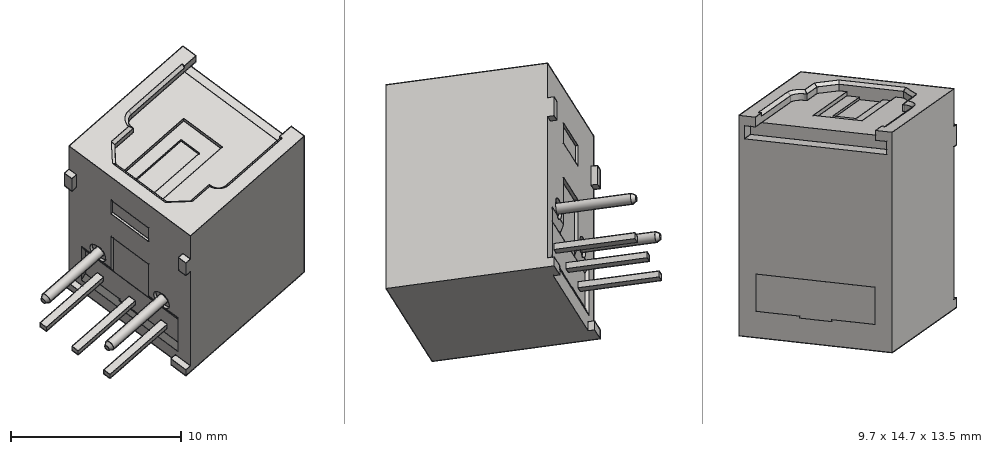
import cadquery as cq
import math

WIDTH = 9.7
DEPTH = 9.9
HEIGHT = 13.5

STANDOFF_HEIGHT = 0.4
TAB_WIDTH = 0.6
TAB_BOTTOM = 9.95
TAB_TOP = 11.2
FOOT_WIDTH = 1.2
FOOT_HEIGHT = 0.6

MOUTH_WIDTH = 7.7
MOUTH_BOTTOM = 1.1
MOUTH_TOP = 4.45
MOUTH_DEPTH = 0.22
INSERT_WIDTH = 7.5
INSERT_BOTTOM = 1.62
INSERT_TOP = 3.9
KEY_WIDTH = 2.04
KEY_HEIGHT = 0.12
KEY_BOTTOM = INSERT_BOTTOM - KEY_HEIGHT

PANEL_WIDTH = 3.0
WINDOW_BOTTOM = 9.85
WINDOW_TOP = TAB_TOP
WINDOW_DEPTH = 0.15
STEM_TOP = 7.6

SOCKET_DEPTH = 0.6
SOCKET_REAR = 8.9
SOCKET_HALF_WIDTH = 3.8
SOCKET_CORNER_RADIUS = 0.65
SOCKET_SHOULDER = 3.62
NECK_HALF_WIDTH = 3.03
NECK_FRONT = 1.0
NOSE_BEVEL = 1.0

LEAD_IN = 0.2
LEAD_IN_DEPTH = 0.2

SHUTTER_STEPS = ((1.54, 6.37, 0.25), (0.735, 5.26, 0.4))

LEDGE_WIDTH = 9.0
LEDGE_DROP = 0.8

PIN_PITCH = 2.54
PIN_REACH = 4.75
CONTACT_WIDTH = 0.5
CONTACT_HEIGHT = 0.4
CONTACT_Z = 2.4
POST_RADIUS = 0.325
POST_Z = 5.0
POST_TIP_RADIUS = 0.175
POST_TIP_LENGTH = 0.25
SEAT_RADIUS = 0.625
SEAT_DEPTH = 0.2


def block(x_range, y_range, z_range):
    """Box spanning the given (low, high) ranges."""
    low, high = zip(x_range, y_range, z_range)
    size = [end - start for start, end in zip(low, high)]
    return cq.Workplane("XY").box(*size, centered=False).translate(low)


def centred(width, middle=0):
    """Range of the given width about a middle."""
    return (middle - width / 2, middle + width / 2)


def front_plane(y):
    """Workplane whose local axes are X and Z and whose normal points forward, towards -Y."""
    return cq.Workplane("XZ", origin=(0, y, 0))


def cylinder(x, z, radius, y, length):
    """Cylinder that runs forward from y."""
    return front_plane(y).center(x, z).circle(radius).extrude(length)




def standoffs():
    """Upper tabs and lower feet at both sides of the front face."""
    pads = cq.Workplane("XY")
    for width, z_range in ((TAB_WIDTH, (TAB_BOTTOM, TAB_TOP)), (FOOT_WIDTH, (0, FOOT_HEIGHT))):
        for side in (-1, 1):
            middle = side * (WIDTH - width) / 2
            pads = pads.add(block(centred(width, middle), (-STANDOFF_HEIGHT, 0), z_range))
    return pads


def mouth():
    """Front mouth narrowing to the insert's face, with the key's slot cut through its lower slope."""
    front_middle = (MOUTH_BOTTOM + MOUTH_TOP) / 2
    floor_middle = (INSERT_BOTTOM + INSERT_TOP) / 2
    opening = (
        front_plane(0)
        .center(0, front_middle)
        .rect(MOUTH_WIDTH, MOUTH_TOP - MOUTH_BOTTOM)
        .workplane(offset=-MOUTH_DEPTH)
        .center(0, floor_middle - front_middle)
        .rect(INSERT_WIDTH, INSERT_TOP - INSERT_BOTTOM)
        .loft(ruled=True)
    )
    slot = block(centred(KEY_WIDTH), (0, MOUTH_DEPTH), (KEY_BOTTOM, floor_middle))
    return opening.union(slot)


def wide_outline(plane, grown):
    """Wide part of the socket with rounded front corners, its sides and front moved out by `grown`."""
    half = SOCKET_HALF_WIDTH + grown
    front = SOCKET_SHOULDER - grown
    radius = SOCKET_CORNER_RADIUS + grown
    return (
        plane.moveTo(-half, SOCKET_REAR)
        .lineTo(-half, front + radius)
        .radiusArc((-half + radius, front), -radius)
        .lineTo(half - radius, front)
        .radiusArc((half, front + radius), -radius)
        .lineTo(half, SOCKET_REAR)
        .close()
    )


def neck_outline(plane, grown):
    """Neck of the socket with 45-degree nose bevels, its sides, front and bevels moved out by `grown`."""
    half = NECK_HALF_WIDTH + grown
    front = NECK_FRONT - grown
    bevel = NOSE_BEVEL + grown * (2 - math.sqrt(2))
    return plane.polyline(
        [
            (-half, SOCKET_REAR),
            (-half, front + bevel),
            (-half + bevel, front),
            (half - bevel, front),
            (half, front + bevel),
            (half, SOCKET_REAR),
        ]
    ).close()


def socket():
    """Plug socket with its lead-in, its opening to the rear and the shutter recesses in its floor."""
    floor = HEIGHT - SOCKET_DEPTH
    base = cq.Workplane("XY", origin=(0, 0, floor))
    lead_in_base = cq.Workplane("XY", origin=(0, 0, HEIGHT - LEAD_IN_DEPTH))

    cut = wide_outline(base, 0).extrude(SOCKET_DEPTH)
    cut = cut.union(neck_outline(base, 0).extrude(SOCKET_DEPTH))

    wide = wide_outline(lead_in_base, 0).workplane(offset=LEAD_IN_DEPTH)
    cut = cut.union(wide_outline(wide, LEAD_IN).loft(ruled=True))
    neck = neck_outline(lead_in_base, 0).workplane(offset=LEAD_IN_DEPTH)
    cut = cut.union(neck_outline(neck, LEAD_IN).loft(ruled=True))

    cut = cut.union(block(centred(2 * SOCKET_HALF_WIDTH), (SOCKET_REAR, DEPTH), (floor, HEIGHT)))
    for half_width, rear, depth in SHUTTER_STEPS:
        cut = cut.union(block(centred(2 * half_width), (NECK_FRONT, rear), (floor - depth, floor)))
    return cut


def rear_ledge():
    """Step below the top plate, open to the rear."""
    top = HEIGHT - SOCKET_DEPTH
    return block(centred(LEDGE_WIDTH), (SOCKET_REAR, DEPTH), (top - LEDGE_DROP, top))


def insert_body():
    """Insert running from the mouth to the rear face, with a key along its underside."""
    y_range = (MOUTH_DEPTH, DEPTH)
    body = block(centred(INSERT_WIDTH), y_range, (INSERT_BOTTOM, INSERT_TOP))
    return body.union(block(centred(KEY_WIDTH), y_range, (KEY_BOTTOM, INSERT_BOTTOM)))


def housing_body():
    body = block(centred(WIDTH), (0, DEPTH), (0, HEIGHT)).union(standoffs())
    body = body.cut(block(centred(PANEL_WIDTH), (0, WINDOW_DEPTH), (WINDOW_BOTTOM, WINDOW_TOP)))
    body = body.cut(block(centred(PANEL_WIDTH), (0, MOUTH_DEPTH), (INSERT_TOP, STEM_TOP)))
    body = body.cut(mouth())
    for x in (-PIN_PITCH, PIN_PITCH):
        body = body.cut(cylinder(x, POST_Z, SEAT_RADIUS, SEAT_DEPTH, SEAT_DEPTH))
    return body.cut(socket()).cut(rear_ledge()).cut(insert_body())




def contact_pin(x):
    """Rectangular contact standing on the insert's face."""
    return block(
        centred(CONTACT_WIDTH, x),
        (-PIN_REACH, MOUTH_DEPTH),
        centred(CONTACT_HEIGHT, CONTACT_Z),
    )


def post_pin(x):
    """Round post with a tapered tip, standing on the floor of its seat."""
    post = cylinder(x, POST_Z, POST_RADIUS, SEAT_DEPTH, SEAT_DEPTH + PIN_REACH)
    return post.faces("<Y").chamfer(POST_TIP_LENGTH, POST_RADIUS - POST_TIP_RADIUS)


housing = housing_body()
insert = insert_body()
contacts = [contact_pin(x) for x in (-PIN_PITCH, 0, PIN_PITCH)]
posts = [post_pin(x) for x in (-PIN_PITCH, PIN_PITCH)]

result = cq.Compound.makeCompound(
    [housing.val(), insert.val(), *[pin.val() for pin in contacts], *[pin.val() for pin in posts]]
)